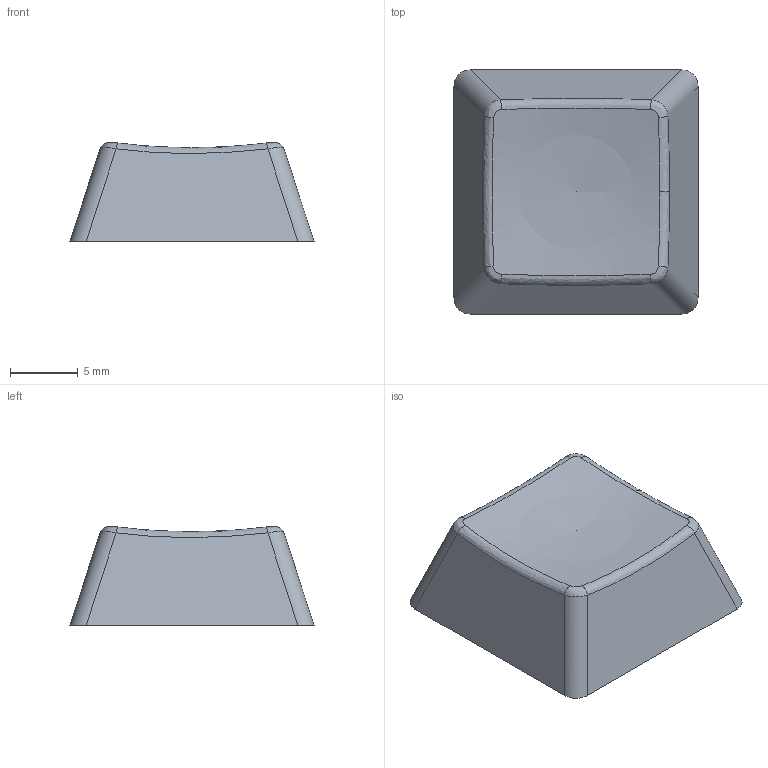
import cadquery as cq

base_side = 18.0
draft_angle = 18.0
blank_height = 9.0
corner_radius = 1.25
dish_radius = 43.0
dish_floor_height = 6.48
rim_radius = 0.65


def tapered_blank():
    """Square block with drafted walls and rounded corner edges."""
    block = cq.Workplane("XY").rect(base_side, base_side).extrude(blank_height, taper=draft_angle)
    sloping_edges = block.edges("not(#Z)")
    return sloping_edges.fillet(corner_radius)


def dish_cutter():
    """Sphere whose lowest point forms the dish floor."""
    center_height = dish_floor_height + dish_radius
    return cq.Workplane("XY").sphere(dish_radius).translate((0, 0, center_height))


def round_rim(cap):
    """Round the closed edge between the dish and the walls."""
    rim_edges = cap.faces("%SPHERE").edges()
    return rim_edges.fillet(rim_radius)


dished_cap = tapered_blank().cut(dish_cutter())
result = round_rim(dished_cap).solids()